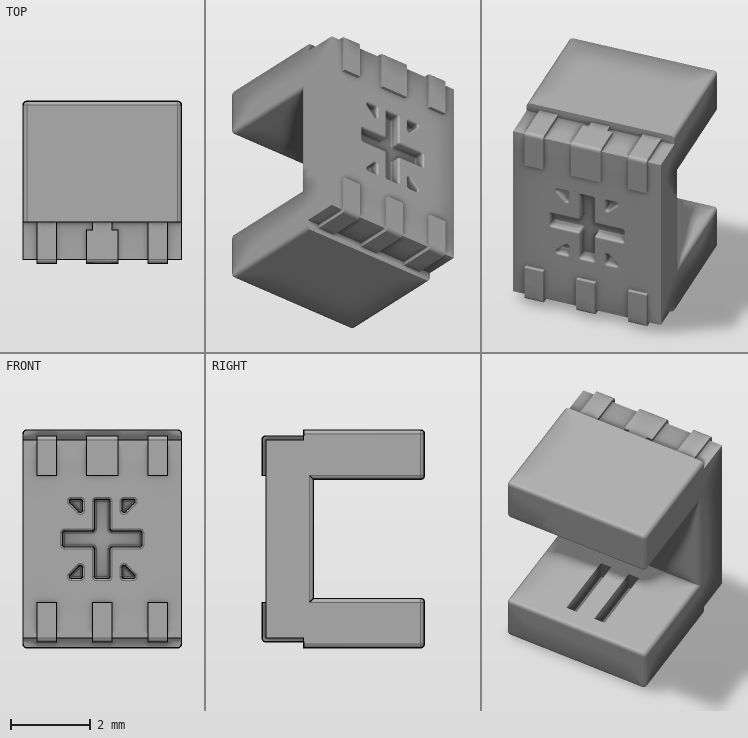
import cadquery as cq

WIDTH = 4.0
HEIGHT = 5.5
DEPTH = 4.0
EDGE_RADIUS = 0.1

BASE_HEIGHT = 5.0
BASE_DEPTH = 0.95
GAP_HEIGHT = 3.0
GAP_FLOOR_Y = 1.2

PAD_THICKNESS = 0.1
WIDE_PAD_THICKNESS = 0.09
PAD_WIDTH = 0.5
WIDE_PAD_WIDTH = 0.8
PAD_LENGTH = 1.0
PAD_PITCH = 1.4
NECK_Y = 0.75
PAD_BEND_RADIUS = 0.1

RECESS_DEPTH = 0.3
RECESS_RADIUS = 0.05
CROSS_SPAN = 2.0
CROSS_ARM_WIDTH = 0.4
TRIANGLE_LEG = 0.4
TRIANGLE_INNER_X = 0.5
TRIANGLE_OUTER_Z = CROSS_SPAN / 2

SLOT_WIDTH = 0.3
SLOT_PITCH = 0.8
SLOT_END_MARGIN = 0.5
SLOT_FRONT_Y = GAP_FLOOR_Y + SLOT_END_MARGIN
SLOT_BACK_Y = DEPTH - SLOT_END_MARGIN
SLOT_DEPTH = 0.5


def block(x_range, y_range, z_range):
    """Box between two limits on each axis."""
    x0, x1 = x_range
    y0, y1 = y_range
    z0, z1 = z_range
    return cq.Workplane("XY").box(x1 - x0, y1 - y0, z1 - z0, centered=False).translate((x0, y0, z0))


def make_housing():
    """Base and arms, with the outer edges of the arms rounded and the gap cut square."""
    half_width = WIDTH / 2
    x_range = (-half_width, half_width)
    arms = block(x_range, (0, DEPTH), (-HEIGHT / 2, HEIGHT / 2))
    arms = arms.edges("|Y or >Y").fillet(EDGE_RADIUS)
    arms = arms.intersect(block(x_range, (BASE_DEPTH, DEPTH), (-HEIGHT / 2, HEIGHT / 2)))
    base = block(x_range, (0, BASE_DEPTH), (-BASE_HEIGHT / 2, BASE_HEIGHT / 2))
    gap = block(x_range, (GAP_FLOOR_Y, DEPTH), (-GAP_HEIGHT / 2, GAP_HEIGHT / 2))
    return arms.union(base).cut(gap)


def round_gap(housing):
    """Round the gap edges along both sides and both arm ends, leaving the two inner corners sharp."""
    margin = EDGE_RADIUS / 2
    inner_z = GAP_HEIGHT / 2 + margin
    gap_zone = cq.selectors.BoxSelector(
        (-WIDTH, GAP_FLOOR_Y - margin, -inner_z), (WIDTH, DEPTH + margin, inner_z)
    )
    side_and_end_edges = gap_zone - cq.selectors.BoxSelector(
        (-margin, GAP_FLOOR_Y - margin, -inner_z), (margin, GAP_FLOOR_Y + margin, inner_z)
    )
    return housing.edges(side_and_end_edges).fillet(EDGE_RADIUS)


def make_pad(x, width, thickness, side):
    """L-shaped pad at the top (side = 1) or bottom (side = -1) edge of the base."""
    outer_z = BASE_HEIGHT / 2 + PAD_THICKNESS
    inner_z = outer_z - PAD_LENGTH
    pad = block((x - width / 2, x + width / 2), (-thickness, BASE_DEPTH), (inner_z, outer_z))
    pad = pad.edges("|X and <Y and >Z").fillet(PAD_BEND_RADIUS)
    if side < 0:
        pad = pad.mirror("XY")
    return pad


def make_wide_pad():
    """Top middle pad, narrowed to PAD_WIDTH next to the arm."""
    pad = make_pad(0, WIDE_PAD_WIDTH, WIDE_PAD_THICKNESS, 1)
    for side in (-1, 1):
        x_limits = sorted((side * PAD_WIDTH / 2, side * WIDE_PAD_WIDTH / 2))
        pad = pad.cut(block(x_limits, (NECK_Y, BASE_DEPTH), (0, HEIGHT)))
    return pad


def make_cross():
    """Cutter for the cross, with square corners."""
    half_span = CROSS_SPAN / 2
    half_arm = CROSS_ARM_WIDTH / 2
    y_range = (0, RECESS_DEPTH)
    upright = block((-half_arm, half_arm), y_range, (-half_span, half_span))
    crossbar = block((-half_span, half_span), y_range, (-half_arm, half_arm))
    return upright.union(crossbar)


def make_triangle(x_side, z_side):
    """Cutter for a right triangle whose square corner is nearest the end of the upright."""
    inner_x = x_side * TRIANGLE_INNER_X
    outer_z = z_side * TRIANGLE_OUTER_Z
    return (
        cq.Workplane("XZ")
        .moveTo(inner_x, outer_z)
        .lineTo(inner_x + x_side * TRIANGLE_LEG, outer_z)
        .lineTo(inner_x, outer_z - z_side * TRIANGLE_LEG)
        .close()
        .extrude(-RECESS_DEPTH)
    )


def cut_recess(housing, cutter):
    """Cut a recess with rounded corners and a rounded floor edge."""
    cutter = cutter.edges("|Y").fillet(RECESS_RADIUS)
    return housing.cut(cutter.faces(">Y").edges().fillet(RECESS_RADIUS))


def round_recess_mouths(housing):
    """Round the front edges of all recesses."""
    margin = RECESS_RADIUS / 2
    reach = CROSS_SPAN / 2 + margin
    mouths = cq.selectors.BoxSelector((-reach, -margin, -reach), (reach, margin, reach))
    return housing.edges(mouths).fillet(RECESS_RADIUS)


def make_slot(x):
    """Cutter for one aperture slot."""
    floor_z = -GAP_HEIGHT / 2
    return block(
        (x - SLOT_WIDTH / 2, x + SLOT_WIDTH / 2),
        (SLOT_FRONT_Y, SLOT_BACK_Y),
        (floor_z - SLOT_DEPTH, floor_z),
    )


body = round_gap(make_housing())

body = cut_recess(body, make_cross())
for x_side in (-1, 1):
    for z_side in (-1, 1):
        body = cut_recess(body, make_triangle(x_side, z_side))
body = round_recess_mouths(body)

for x in (-SLOT_PITCH / 2, SLOT_PITCH / 2):
    body = body.cut(make_slot(x))

for side in (-1, 1):
    for x in (-PAD_PITCH, PAD_PITCH):
        body = body.union(make_pad(x, PAD_WIDTH, PAD_THICKNESS, side))
body = body.union(make_pad(0, PAD_WIDTH, PAD_THICKNESS, -1))
body = body.union(make_wide_pad())

result = body